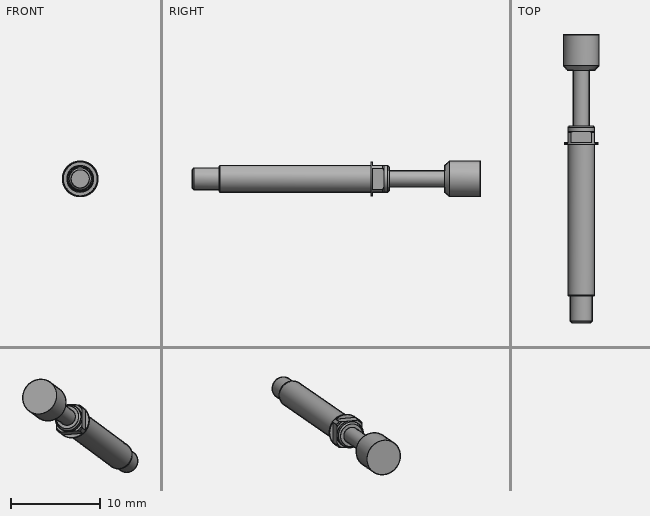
import cadquery as cq


length = 32.3
head_diameter = 4.0
head_length = 4.0
head_chamfer_width = 0.5
head_chamfer_length = 0.55
plunger_diameter = 1.85
plunger_length = 6.2
barrel_diameter = 3.0
barrel_end_chamfer = 0.13
collar_chamfer = 0.2
collar_length = 0.6
square_length = 1.25
square_corner_diameter = 3.8
square_corner_chamfer = 0.13
flange_diameter = 3.8
flange_thickness = 0.2
tail_diameter = 2.5
tail_length = 3.0
tail_chamfer = 0.23

head_end_y = length / 2
head_base_y = head_end_y - head_length
collar_top_y = head_base_y - plunger_length
square_top_y = collar_top_y - collar_length
flange_top_y = square_top_y - square_length
flange_bottom_y = flange_top_y - flange_thickness
tail_end_y = -length / 2
barrel_bottom_y = tail_end_y + tail_length


def cylinder(diameter, start_y, end_y):
    """Solid cylinder on the Y axis between two stations."""
    height = end_y - start_y
    disc = cq.Workplane("XZ", origin=(0, end_y, 0)).circle(diameter / 2)
    return disc.extrude(height)


def make_head():
    head = cylinder(head_diameter, head_base_y, head_end_y)
    return head.faces("<Y").chamfer(head_chamfer_length, head_chamfer_width)


def make_barrel():
    barrel = cylinder(barrel_diameter, barrel_bottom_y, collar_top_y)
    barrel = barrel.faces(">Y").chamfer(collar_chamfer)
    return barrel.faces("<Y").chamfer(barrel_end_chamfer)


def make_wrench_square():
    """Square with its flats tangent to the barrel and its corners turned round."""
    square = (
        cq.Workplane("XZ", origin=(0, square_top_y, 0))
        .rect(barrel_diameter, barrel_diameter)
        .extrude(square_length)
    )
    turned_blank = cylinder(square_corner_diameter, flange_top_y, square_top_y)
    turned_blank = turned_blank.faces(">Y").chamfer(square_corner_chamfer)
    return square.intersect(turned_blank)


def make_tail():
    tail = cylinder(tail_diameter, tail_end_y, barrel_bottom_y)
    return tail.faces("<Y").chamfer(tail_chamfer)


plunger = cylinder(plunger_diameter, collar_top_y, head_base_y)
flange = cylinder(flange_diameter, flange_bottom_y, flange_top_y)

result = (
    make_barrel()
    .union(make_wrench_square())
    .union(flange)
    .union(make_tail())
    .union(plunger)
    .union(make_head())
)